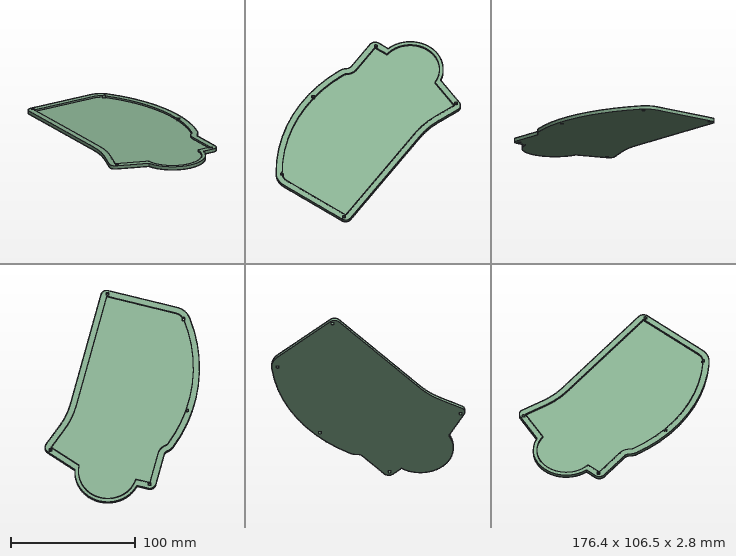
import cadquery as cq
import math

length = 176.4
width = 106.5
thickness = 2.8
pocket_depth = 1.4
rim = 5.0
bulge_rim = 3.0

crown_radius = 119.4
crown_x = 75.5
crown_top = 96.1
shoulder_radius = 15.0
shelf_y = 83.6
shelf_right = 155.9
crown_end_x = 116.4
crest_radius = 10.0
valley_radius = 5.0
bulge_radius = 26.5
bulge_y = 43.5
sweep_start_x = 102.0
sweep_radius = 57.5
tail_angle = math.radians(20)

hole_diameter = 2.5
hole_centers = [(2.8, 5.1), (8.1, 69.3), (83.5, 91.9), (152.2, 78.8), (143.9, -5.5)]


def polar(center, radius, angle):
    """Point at a given radius and angle around a center."""
    return (center[0] + radius * math.cos(angle), center[1] + radius * math.sin(angle))


def direction(start, end):
    """Angle of the line from start to end."""
    return math.atan2(end[1] - start[1], end[0] - start[0])


def arc(outline, center, radius, start_angle, end_angle):
    """Continue the outline along an arc whose start is the current point."""
    middle = polar(center, radius, (start_angle + end_angle) / 2)
    return outline.threePointArc(middle, polar(center, radius, end_angle))


def inner_outline():
    """Pocket edge without the bulge; the rim lies outside it."""
    up = math.pi / 2

    crown = (crown_x, crown_top - crown_radius)
    center_gap = crown_radius - shoulder_radius
    shoulder_rise = math.sqrt(center_gap**2 - (crown_x - shoulder_radius) ** 2)
    shoulder = (shoulder_radius, crown[1] + shoulder_rise)
    shoulder_angle = direction(crown, shoulder)

    crown_end_angle = math.acos((crown_end_x - crown_x) / crown_radius)
    crest = polar(crown, crown_radius - crest_radius, crown_end_angle)
    valley_y = shelf_y + valley_radius
    bend_angle = math.asin((valley_y - crest[1]) / (crest_radius + valley_radius))
    valley = polar(crest, crest_radius + valley_radius, bend_angle)

    sweep = (sweep_start_x, -sweep_radius)
    inner_sweep_radius = sweep_radius + rim
    sweep_end = polar(sweep, inner_sweep_radius, up - tail_angle)
    tail_y = crown_top - width + rim
    tail_x = sweep_end[0] + (sweep_end[1] - tail_y) / math.tan(tail_angle)
    slant_top = bulge_y - bulge_radius + bulge_rim
    slant_x = tail_x + (slant_top - tail_y) * math.tan(tail_angle)

    inner_right = shelf_right - rim
    outline = cq.Workplane("XY").moveTo(rim, rim).lineTo(rim, shoulder[1])
    outline = arc(outline, shoulder, shoulder_radius - rim, math.pi, shoulder_angle)
    outline = arc(outline, crown, crown_radius - rim, shoulder_angle, crown_end_angle)
    outline = arc(outline, crest, crest_radius - rim, crown_end_angle, bend_angle)
    outline = arc(outline, valley, valley_radius + rim, bend_angle - math.pi, -up)
    outline = outline.lineTo(inner_right, shelf_y - rim).lineTo(inner_right, bulge_y)
    outline = outline.lineTo(slant_x, slant_top).lineTo(tail_x, tail_y).lineTo(*sweep_end)
    outline = arc(outline, sweep, inner_sweep_radius, up - tail_angle, up)
    return outline.close()


def bulge(radius, height):
    """Round disc at the right end."""
    disc = cq.Workplane("XY").center(length - bulge_radius, bulge_y)
    return disc.circle(radius).extrude(height)


plate = inner_outline().offset2D(rim, "arc").extrude(thickness)
plate = plate.union(bulge(bulge_radius, thickness))

pocket = inner_outline().extrude(pocket_depth)
pocket = pocket.union(bulge(bulge_radius - bulge_rim, pocket_depth))
pocket = pocket.translate((0, 0, thickness - pocket_depth))

holes = cq.Workplane("XY").pushPoints(hole_centers).circle(hole_diameter / 2).extrude(thickness)

result = plate.cut(pocket).cut(holes)